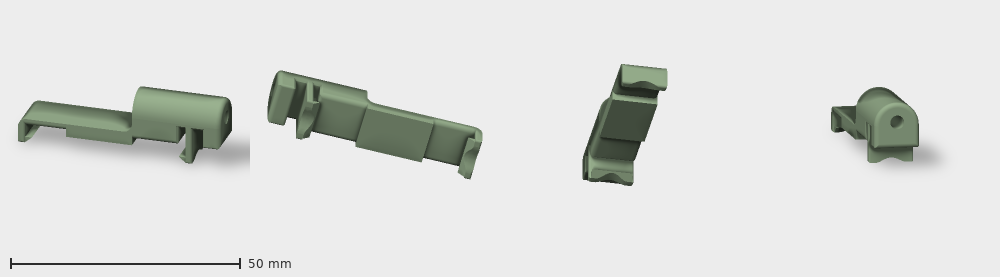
import cadquery as cq
import math

length = 46.0
width = 10.0
height = 14.25

barrel_radius = width / 2
barrel_axis_z = height - barrel_radius
barrel_start_x = 25.95
end_round = 1.0
body_bottom_z = 4.25

plate_top_z = 5.8
bend_radius = 2.0
block_start_x = 11.0
block_bottom_z = 2.75
under_round = 1.0

leg_thickness = 1.5
hook_reach = 1.5
hook_top_z = 1.3
rear_leg_back_x = 39.5
rear_leg_front_x = rear_leg_back_x - leg_thickness
slot_front_x = 36.5
slot_back_x = 41.95
slot_top_z = 8.3
slot_corner_round = 0.65
edge_size = 0.45

relief_height = 1.05
relief_half_width = 3.45

hole_axis_z = 10.0
hole_radius = 1.5
bore_radius = 2.25
bore_end_x = 37.25

half_width = width / 2


def box(x_min, x_max, z_min, z_max):
    """Full-width block centred on Y = 0."""
    return cq.Workplane("XY").box(
        x_max - x_min, width, z_max - z_min, centered=(False, True, False)
    ).translate((x_min, 0, z_min))


def x_cylinder(radius, x_min, x_max, axis_z):
    """Cylinder along X at the given height."""
    return (
        cq.Workplane("YZ", origin=(x_min, 0, axis_z))
        .circle(radius)
        .extrude(x_max - x_min)
    )


def make_plate():
    """Thin plate with the front leg bent down at its end."""
    plate = box(0, barrel_start_x, body_bottom_z, plate_top_z)
    plate = plate.edges("|X and <Z").fillet(under_round)
    leg = box(0, leg_thickness, 0, plate_top_z)
    leg = leg.edges("|Z and >X").fillet(edge_size)
    leg = leg.edges("|Y and <X and <Z").fillet(edge_size)
    plate = plate.union(leg).union(box(block_start_x, barrel_start_x, block_bottom_z, plate_top_z))
    bend_waste = (
        cq.Workplane("XZ", origin=(0, half_width, 0))
        .moveTo(0, plate_top_z - bend_radius)
        .radiusArc((bend_radius, plate_top_z), bend_radius)
        .lineTo(0, plate_top_z)
        .close()
        .extrude(width)
    )
    return plate.cut(bend_waste)


def make_barrel():
    """Round-topped body with a soft end and two slots open at the bottom."""
    body = box(barrel_start_x, length, body_bottom_z, barrel_axis_z)
    body = body.union(x_cylinder(barrel_radius, barrel_start_x, length, barrel_axis_z))
    slot = box(slot_front_x, slot_back_x, body_bottom_z, slot_top_z)
    body = body.cut(slot)
    bottom_corners = body.faces("<Z").edges("|Y").edges(
        cq.selectors.BoxSelector((slot_front_x - 0.45, -0.45, 0), (slot_back_x + 0.45, 0.45, body_bottom_z + 0.45))
    )
    body = bottom_corners.fillet(slot_corner_round)
    body = body.faces(">X").edges().fillet(end_round)

    for side in (-1, 1):
        body = body.cut(slot_rim(side))
        body = body.cut(lower_edge_round(side, body_bottom_z, under_round, barrel_start_x, slot_front_x))
        body = body.cut(lower_edge_round(side, body_bottom_z, edge_size, slot_back_x, length))
    return body


def slot_rim(side):
    """Tapered cutter widening the slot opening towards one side face."""
    y_inner = half_width - edge_size
    x_mid = (slot_front_x + slot_back_x) / 2
    slot_width = slot_back_x - slot_front_x
    slot_height = 2 * (slot_top_z - body_bottom_z)
    plane = cq.Plane(origin=(x_mid, side * y_inner, body_bottom_z), xDir=(1, 0, 0), normal=(0, side, 0))
    return (
        cq.Workplane(plane)
        .rect(slot_width, slot_height)
        .workplane(offset=edge_size)
        .rect(slot_width + 2 * edge_size, slot_height + 2 * edge_size)
        .loft(ruled=True)
    )


def lower_edge_round(side, bottom_z, radius, x_min, x_max):
    """Cutter rounding one long lower edge that lies at the given height."""
    middle = radius * (1 - math.sqrt(0.5))
    return (
        cq.Workplane("YZ", origin=(x_min, 0, bottom_z))
        .moveTo(side * half_width, 0)
        .lineTo(side * half_width, radius)
        .threePointArc(
            (side * (half_width - middle), middle),
            (side * (half_width - radius), 0),
        )
        .close()
        .extrude(x_max - x_min)
    )


def make_web_fillet():
    """Concave fillet joining the plate to the barrel front."""
    return (
        cq.Workplane("XZ", origin=(0, half_width, 0))
        .moveTo(barrel_start_x - bend_radius, plate_top_z)
        .radiusArc((barrel_start_x, plate_top_z + bend_radius), -bend_radius)
        .lineTo(barrel_start_x, plate_top_z)
        .close()
        .extrude(width)
    )


def make_rear_leg():
    """Leg standing between the two slots, rounded on its upright edges."""
    leg = box(rear_leg_front_x, rear_leg_back_x, 0, slot_top_z + edge_size)
    return leg.edges("|Z").fillet(edge_size)


def make_hook(face_x, direction):
    """Barb on the foot of a leg, pointing along X in the given direction."""
    tip_x = face_x + direction * hook_reach
    root_x = face_x - direction * edge_size
    return (
        cq.Workplane("XZ", origin=(0, half_width - edge_size, 0))
        .polyline([(root_x, 0), (face_x, 0), (tip_x, hook_top_z), (root_x, hook_top_z)])
        .close()
        .extrude(width - 2 * edge_size)
    )


def make_foot_relief():
    """Cutter for the wavy relief and rounded lower corners of the legs."""
    turn_y = relief_half_width * 0.6
    turn_z = relief_height * 0.4
    relief = (
        cq.Workplane("YZ")
        .moveTo(-relief_half_width, 0)
        .spline(
            [(-turn_y, turn_z), (0, relief_height), (turn_y, turn_z), (relief_half_width, 0)],
            tangents=[(1, 0), (1, 0)],
            includeCurrent=True,
        )
        .close()
        .extrude(length)
    )
    for side in (-1, 1):
        relief = relief.union(lower_edge_round(side, 0, edge_size, 0, length))
    return relief


result = make_plate().union(make_barrel()).union(make_web_fillet()).union(make_rear_leg())
result = result.union(make_hook(leg_thickness, 1)).union(make_hook(rear_leg_front_x, -1))
result = result.cut(make_foot_relief())
result = result.cut(x_cylinder(bore_radius, 0, bore_end_x, hole_axis_z))
result = result.cut(x_cylinder(hole_radius, 0, length, hole_axis_z))